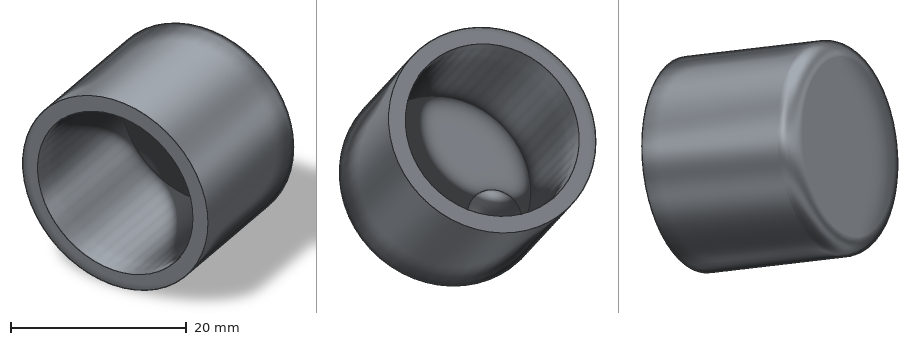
import cadquery as cq
import math

outer_diameter = 24.75
length = 20.0
wall = 2.0
closed_edge_radius = 2.0

dome_sphere_radius = 5.5
dome_base_radius = 3.25
dome_offset = 7.0
dome_angle = -30.0

outer_radius = outer_diameter / 2
inner_radius = outer_radius - wall
floor_y = length - wall


def make_cup():
    """Cup with its rim on the plane Y = 0 and a rounded closed end."""
    rim_plane = cq.Workplane("XZ")
    body = rim_plane.circle(outer_radius).extrude(-length)
    body = body.faces(">Y").edges().fillet(closed_edge_radius)
    cavity = rim_plane.circle(inner_radius).extrude(-floor_y)
    return body.cut(cavity)


def make_dome():
    """Spherical cap whose flat base lies on the floor of the cup."""
    center_depth = math.sqrt(dome_sphere_radius**2 - dome_base_radius**2)
    dome_height = dome_sphere_radius - center_depth
    arc_middle_angle = math.asin(dome_base_radius / dome_sphere_radius) / 2
    arc_middle = (
        dome_sphere_radius * math.sin(arc_middle_angle),
        center_depth - dome_sphere_radius * math.cos(arc_middle_angle),
    )
    profile = (
        cq.Workplane("XY")
        .lineTo(dome_base_radius, 0)
        .threePointArc(arc_middle, (0, -dome_height))
        .close()
    )
    dome = profile.revolve(360, (0, 0), (0, 1))
    angle = math.radians(dome_angle)
    return dome.translate((dome_offset * math.cos(angle), floor_y, dome_offset * math.sin(angle)))


result = make_cup().union(make_dome())